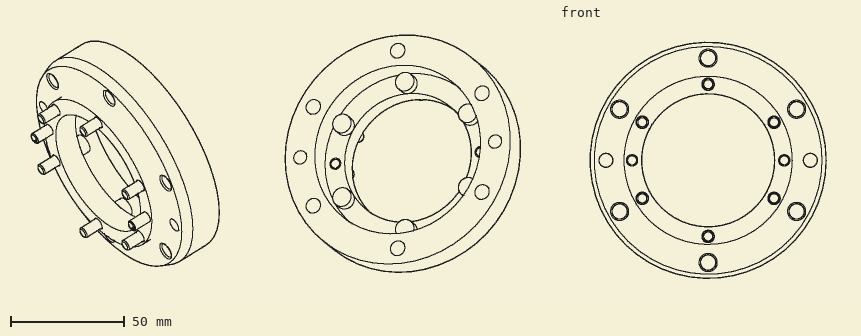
import cadquery as cq
import math


outer_diameter = 104.0
rim_length = 15.2
flange_thickness = 20.0
taper_width = 1.9
spigot_diameter = 74.0
spigot_end = 26.2
spigot_fillet = 1.5
front_bore_diameter = 58.5
rear_bore_diameter = 76.5
lip_seat = 15.0

flange_hole_circle = 90.0
flange_hole_diameter = 6.7
flange_hole_mouth = 8.0
locating_hole_diameter = 6.0

fastener_circle = 67.0
fastener_end = 35.0
screw_diameter = 5.0
screw_clearance_diameter = 5.5
screw_head_diameter = 8.5
screw_head_height = 4.7
screw_tip_chamfer = 0.5
sleeve_diameter = 5.0
sleeve_bore_diameter = 4.0
sleeve_tip_chamfer = 0.4
sleeve_slit_width = 0.8

screw_count = 6
screw_spacing = 360 / screw_count
screw_angles = [screw_spacing * (i + 0.5) for i in range(screw_count)]
side_angles = [0, 180]


def polar_points(circle_diameter, angles):
    """Points (X, Z) on a circle around the ring axis."""
    radius = circle_diameter / 2
    return [
        (radius * math.cos(math.radians(a)), radius * math.sin(math.radians(a)))
        for a in angles
    ]


def rod(point, diameter, start, end):
    """Cylinder along -Y between two distances from the rear face."""
    x, z = point
    return cq.Workplane(
        cq.Solid.makeCylinder(diameter / 2, end - start, cq.Vector(x, -start, z), cq.Vector(0, -1, 0))
    )


def make_ring_blank():
    """Stepped ring, revolved about Y."""
    outer_radius = outer_diameter / 2
    spigot_radius = spigot_diameter / 2
    return (
        cq.Workplane("XY")
        .moveTo(rear_bore_diameter / 2, 0)
        .lineTo(outer_radius, 0)
        .lineTo(outer_radius, -rim_length)
        .lineTo(outer_radius - taper_width, -flange_thickness)
        .lineTo(spigot_radius + spigot_fillet, -flange_thickness)
        .radiusArc((spigot_radius, -flange_thickness - spigot_fillet), -spigot_fillet)
        .lineTo(spigot_radius, -spigot_end)
        .lineTo(front_bore_diameter / 2, -spigot_end)
        .lineTo(front_bore_diameter / 2, -lip_seat)
        .lineTo(rear_bore_diameter / 2, -lip_seat)
        .close()
        .revolve(360, (0, 0, 0), (0, 1, 0))
    )


def flange_hole_cutter(point):
    """Through hole with a 45 degree chamfer at its front mouth."""
    x, z = point
    mouth_depth = (flange_hole_mouth - flange_hole_diameter) / 2
    mouth = cq.Solid.makeCone(
        flange_hole_mouth / 2, flange_hole_diameter / 2, mouth_depth,
        cq.Vector(x, -flange_thickness, z), cq.Vector(0, 1, 0),
    )
    return rod(point, flange_hole_diameter, 0, flange_thickness).union(cq.Workplane(mouth))


def make_ring():
    """Ring with its flange holes and the fastener holes through the lip."""
    ring = make_ring_blank()
    for point in polar_points(flange_hole_circle, screw_angles):
        ring = ring.cut(flange_hole_cutter(point))
    for point in polar_points(flange_hole_circle, side_angles):
        ring = ring.cut(rod(point, locating_hole_diameter, 0, flange_thickness))
    for point in polar_points(fastener_circle, screw_angles):
        ring = ring.cut(rod(point, screw_clearance_diameter, lip_seat, spigot_end))
    for point in polar_points(fastener_circle, side_angles):
        ring = ring.cut(rod(point, sleeve_diameter, lip_seat, spigot_end))
    return ring


def make_screw(point):
    """Cap screw with its head seated on the rear face of the lip."""
    shank = rod(point, screw_diameter, lip_seat, fastener_end).faces("<Y").chamfer(screw_tip_chamfer)
    return shank.union(rod(point, screw_head_diameter, lip_seat - screw_head_height, lip_seat))


def make_sleeve(point):
    """Hollow spring sleeve, slit lengthwise along its underside."""
    x, z = point
    length = fastener_end - lip_seat
    body = rod(point, sleeve_diameter, lip_seat, fastener_end).faces("<Y").chamfer(sleeve_tip_chamfer)
    slit = (
        cq.Workplane("XY")
        .box(sleeve_slit_width, length, sleeve_diameter, centered=(True, False, False))
        .translate((x, -fastener_end, z - sleeve_diameter))
    )
    return body.cut(rod(point, sleeve_bore_diameter, lip_seat, fastener_end)).cut(slit)


ring = make_ring()
screws = [make_screw(point) for point in polar_points(fastener_circle, screw_angles)]
sleeves = [make_sleeve(point) for point in polar_points(fastener_circle, side_angles)]

result = cq.Compound.makeCompound(
    [ring.val()] + [screw.val() for screw in screws] + [sleeve.val() for sleeve in sleeves]
)